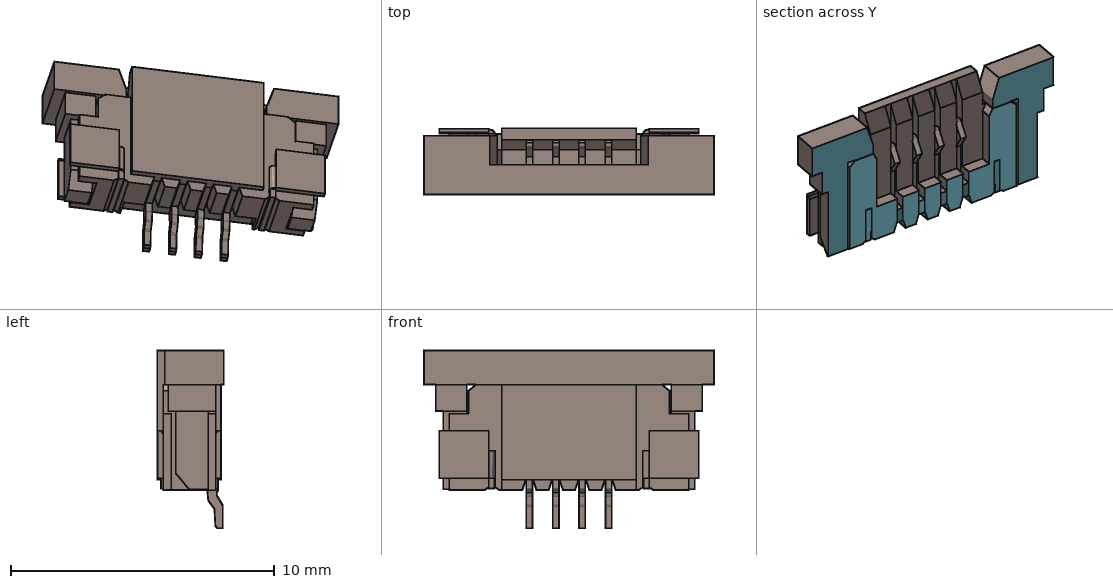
import cadquery as cq


BODY_FRONT = 0.3
BODY_BACK = 2.3
BODY_TOP = 4.0
SHOULDER_HALF = 3.81
SHOULDER_CHAMFER_X = 0.28
SHOULDER_CHAMFER_Z = 0.23
EAR_HALF = 4.53
EAR_TOP = 2.9
GROOVE_FRONT = 0.59
GROOVE_BACK = 1.98

PANEL_HALF = 2.55
PANEL_FRONT = 0.1
PANEL_BOTTOM = 0.39
WALL_BACK = 2.52
WALL_TOP = 5.3
WALL_RIM_FRONT = 2.09
WALL_SLOPE_BOTTOM = 4.55

CABLE_FRONT = 1.14
CABLE_BACK = 1.7
CABLE_FLOOR = 1.5
CABLE_LEAD_IN = 0.16
CABLE_LEAD_IN_DEPTH = 0.3
RECESS_BACK = 1.0

CONTACT_COUNT = 4
PITCH = 1.0
CONTACT_WIDTH = 0.25
NOTCH_WIDTH_BOTTOM = 0.53
NOTCH_WIDTH_TOP = 0.28
CONTACT_X = [(i - (CONTACT_COUNT - 1) / 2) * PITCH for i in range(CONTACT_COUNT)]

TAIL_TIP = -1.45
TAIL_FRONT = 0.03
TAIL_BACK = 0.32
TAIL_CHAMFER = 0.09
JOG_FRONT_TOP = -0.2
JOG_FRONT_BOTTOM = -0.58
JOG_BACK_TOP = -0.4
JOG_BACK_BOTTOM = -0.7
JOG_RADIUS = 0.12
ROOT_FRONT = 0.2
ROOT_BOTTOM = 0.035
ROOT_RADIUS = 0.17
NECK_FRONT = 0.26
NECK_TOP = -0.09
NECK_BACK = 0.63
NECK_TAPER = 0.04
BASE_TOP = 1.0
ARM_BACK = 2.07
ARM_FRONT = 1.8
ARM_TOP = 3.6
ARM_STEP_BACK = 1.97
ARM_STEP = 0.05
ARM_TIP_RADIUS = 0.08
NOSE_FRONT = 1.43
NOSE_Z = 3.0
NOSE_BOTTOM = 2.4

SLIDER_HALF = 5.5
SLIDER_BACK = 2.24
SLIDER_TOP = WALL_TOP
MOUTH_HALF_TOP = 3.0
MOUTH_SLOPE_BOTTOM = 4.4
MOUTH_HALF_BOTTOM = PANEL_HALF + CABLE_LEAD_IN
LUG_INNER = 3.87
LUG_OUTER = 5.05
LUG_BOTTOM = 3.0
LUG_BACK = 2.11
LATCH_OUTER = 4.77
LATCH_REAR = 1.81
LATCH_BOTTOM = 0.03
LATCH_CUT_Y = 0.5
LATCH_CUT_Z = 0.6

TAB_THICKNESS = 0.2
TAB_OUTER = 4.92
TAB_BOTTOM = 0.45
TAB_TOP = 2.255
TAB_EDGE_Y = 0.06
TAB_EDGE_Z = 0.12
WEB_OUTER = 3.04
WEB_INNER = 2.8
WEB_TOP = 1.5
WEB_BOTTOM = 0.06
FOOT_SETBACK = 0.12
FOOT_INNER = 2.83
BEND_RADIUS = 0.2
BEND_SETBACK = 0.03
SLOT_MOUTH = 0.16
SLOT_MOUTH_Z = 0.11
TAB_FRONT = BODY_FRONT - TAB_THICKNESS
TAB_BACK = BODY_BACK + TAB_THICKNESS


def block(x0, x1, y0, y1, z0, z1):
    return cq.Workplane("XY").box(x1 - x0, y1 - y0, z1 - z0, centered=False).translate((x0, y0, z0))


def across_x(points, x0, x1):
    """Extrude a (y, z) outline from x0 to x1."""
    return cq.Workplane("YZ").polyline(points).close().extrude(x1 - x0).translate((x0, 0, 0))


def along_y(points, y0, y1):
    """Extrude an (x, z) outline from y0 to y1."""
    return cq.Workplane("XZ").polyline(points).close().extrude(y0 - y1).translate((0, y0, 0))


def mirrored(half):
    """Return a left-hand feature together with its right-hand mirror image."""
    return half.union(half.mirror("YZ"))


def make_contact(x):
    root = (ROOT_FRONT, ROOT_BOTTOM)
    jog_front = [(NECK_FRONT, JOG_FRONT_TOP), (TAIL_FRONT, JOG_FRONT_BOTTOM)]
    jog_back = [(TAIL_BACK + NECK_TAPER, JOG_BACK_BOTTOM), (NECK_BACK - NECK_TAPER, JOG_BACK_TOP)]
    arm_tip = (ARM_FRONT, ARM_TOP)
    outline = [
        (ROOT_FRONT, BASE_TOP),
        root,
        (NECK_FRONT, NECK_TOP),
        *jog_front,
        (TAIL_FRONT, TAIL_TIP),
        (TAIL_BACK - TAIL_CHAMFER, TAIL_TIP),
        (TAIL_BACK, TAIL_TIP + TAIL_CHAMFER),
        *jog_back,
        (NECK_BACK, 0),
        (NECK_BACK, PANEL_BOTTOM),
        (ARM_BACK, PANEL_BOTTOM),
        (ARM_BACK, ARM_TOP - ARM_STEP),
        (ARM_STEP_BACK, ARM_TOP - ARM_STEP),
        (ARM_STEP_BACK, ARM_TOP),
        arm_tip,
        (NOSE_FRONT, NOSE_Z),
        (ARM_FRONT, NOSE_BOTTOM),
        (ARM_FRONT, BASE_TOP),
    ]
    contact = across_x(outline, x - CONTACT_WIDTH / 2, x + CONTACT_WIDTH / 2)
    bends = [(corner, JOG_RADIUS) for corner in jog_front + jog_back]
    bends += [(root, ROOT_RADIUS), (arm_tip, ARM_TIP_RADIUS)]
    for (y, z), radius in bends:
        contact = contact.edges(cq.NearestToPointSelector((x, y, z))).fillet(radius)
    return contact


def make_tab():
    """Left-hand U-shaped tab: a web through the housing with a solder plate on each face."""
    web = block(-WEB_OUTER, -WEB_INNER, TAB_FRONT + BEND_SETBACK, TAB_BACK - BEND_SETBACK,
                TAB_BOTTOM, WEB_TOP)
    web = web.edges("|Z and >X").fillet(BEND_RADIUS)
    foot = block(-WEB_OUTER, -FOOT_INNER, TAB_FRONT + FOOT_SETBACK, TAB_BACK - FOOT_SETBACK,
                 WEB_BOTTOM, TAB_BOTTOM)
    tab = web.union(foot)
    for outer, inward in ((TAB_FRONT, 1), (TAB_BACK, -1)):
        inner = outer + inward * TAB_THICKNESS
        outline = [
            (outer, TAB_BOTTOM),
            (outer, TAB_TOP),
            (inner - inward * TAB_EDGE_Y, TAB_TOP),
            (inner, TAB_TOP - TAB_EDGE_Z),
            (inner, TAB_BOTTOM),
        ]
        tab = tab.union(across_x(outline, -TAB_OUTER, -WEB_OUTER))
    return tab


def make_slider():
    slider = block(-SLIDER_HALF, SLIDER_HALF, 0, SLIDER_BACK, BODY_TOP, SLIDER_TOP)
    mouth = [
        (-MOUTH_HALF_BOTTOM, BODY_TOP),
        (-MOUTH_HALF_BOTTOM, MOUTH_SLOPE_BOTTOM),
        (-MOUTH_HALF_TOP, SLIDER_TOP),
        (MOUTH_HALF_TOP, SLIDER_TOP),
        (MOUTH_HALF_BOTTOM, MOUTH_SLOPE_BOTTOM),
        (MOUTH_HALF_BOTTOM, BODY_TOP),
    ]
    slider = slider.cut(along_y(mouth, CABLE_FRONT, SLIDER_BACK))
    lug = block(-LUG_OUTER, -LUG_INNER, BODY_FRONT, LUG_BACK, LUG_BOTTOM, BODY_TOP)
    latch_outline = [
        (GROOVE_FRONT, LUG_BOTTOM),
        (GROOVE_FRONT, LATCH_BOTTOM),
        (LATCH_REAR - LATCH_CUT_Y, LATCH_BOTTOM),
        (LATCH_REAR, LATCH_BOTTOM + LATCH_CUT_Z),
        (LATCH_REAR, LUG_BOTTOM),
    ]
    latch = across_x(latch_outline, -LATCH_OUTER, -LUG_INNER)
    return slider.union(mirrored(lug.union(latch)))


def housing_shell():
    body = block(-SHOULDER_HALF, SHOULDER_HALF, BODY_FRONT, BODY_BACK, 0, BODY_TOP)
    corner = along_y([
        (-SHOULDER_HALF, BODY_TOP),
        (-SHOULDER_HALF, BODY_TOP - SHOULDER_CHAMFER_Z),
        (-SHOULDER_HALF + SHOULDER_CHAMFER_X, BODY_TOP),
    ], BODY_FRONT, BODY_BACK)
    body = body.cut(mirrored(corner))
    front_ear = block(-EAR_HALF, -SHOULDER_HALF, BODY_FRONT, GROOVE_FRONT, 0, EAR_TOP)
    back_ear = block(-EAR_HALF, -SHOULDER_HALF, GROOVE_BACK, BODY_BACK, 0, EAR_TOP)
    body = body.union(mirrored(front_ear)).union(mirrored(back_ear))
    panel = block(-PANEL_HALF, PANEL_HALF, PANEL_FRONT, BODY_FRONT, PANEL_BOTTOM, BODY_TOP)
    back_wall = across_x([
        (CABLE_BACK, PANEL_BOTTOM),
        (CABLE_BACK, WALL_SLOPE_BOTTOM),
        (WALL_RIM_FRONT, WALL_TOP),
        (WALL_BACK, WALL_TOP),
        (WALL_BACK, PANEL_BOTTOM),
    ], -PANEL_HALF, PANEL_HALF)
    return body.union(panel).union(back_wall)


def cable_pocket():
    """Pocket for the flat cable, flared at both ends where it opens."""
    flare = PANEL_HALF + CABLE_LEAD_IN
    outline = [
        (-PANEL_HALF, CABLE_FLOOR),
        (-PANEL_HALF, BODY_TOP - CABLE_LEAD_IN_DEPTH),
        (-flare, BODY_TOP),
        (flare, BODY_TOP),
        (PANEL_HALF, BODY_TOP - CABLE_LEAD_IN_DEPTH),
        (PANEL_HALF, CABLE_FLOOR),
    ]
    return along_y(outline, CABLE_FRONT, CABLE_BACK)


def tab_slot():
    """Left-hand slot for a tab web, with a flared mouth at the housing bottom."""
    slot = block(-WEB_OUTER, -WEB_INNER, 0, WALL_BACK, 0, WEB_TOP)
    mouth = [
        (-WEB_OUTER - SLOT_MOUTH, 0),
        (-WEB_OUTER, SLOT_MOUTH_Z),
        (-WEB_INNER, SLOT_MOUTH_Z),
        (-WEB_INNER + SLOT_MOUTH, 0),
    ]
    return slot.union(along_y(mouth, 0, WALL_BACK))


def make_housing():
    housing = housing_shell().cut(cable_pocket()).cut(mirrored(tab_slot()))
    housing = housing.cut(block(-PANEL_HALF, PANEL_HALF, BODY_FRONT, RECESS_BACK, 0, PANEL_BOTTOM))
    for x in CONTACT_X:
        notch = [
            (x - NOTCH_WIDTH_BOTTOM / 2, 0),
            (x - NOTCH_WIDTH_TOP / 2, PANEL_BOTTOM),
            (x + NOTCH_WIDTH_TOP / 2, PANEL_BOTTOM),
            (x + NOTCH_WIDTH_BOTTOM / 2, 0),
        ]
        groove = block(x - CONTACT_WIDTH / 2, x + CONTACT_WIDTH / 2,
                       CABLE_FRONT, WALL_RIM_FRONT, BASE_TOP, WALL_TOP)
        housing = housing.cut(along_y(notch, RECESS_BACK, BODY_BACK)).cut(groove).cut(make_contact(x))
    return housing


housing = make_housing()
slider = make_slider()
contacts = [make_contact(x) for x in CONTACT_X]
left_tab = make_tab()
tabs = [left_tab, left_tab.mirror("YZ")]

result = cq.Compound.makeCompound([
    housing.solids().val(),
    slider.solids().val(),
    *[contact.solids().val() for contact in contacts],
    *[tab.solids().val() for tab in tabs],
])